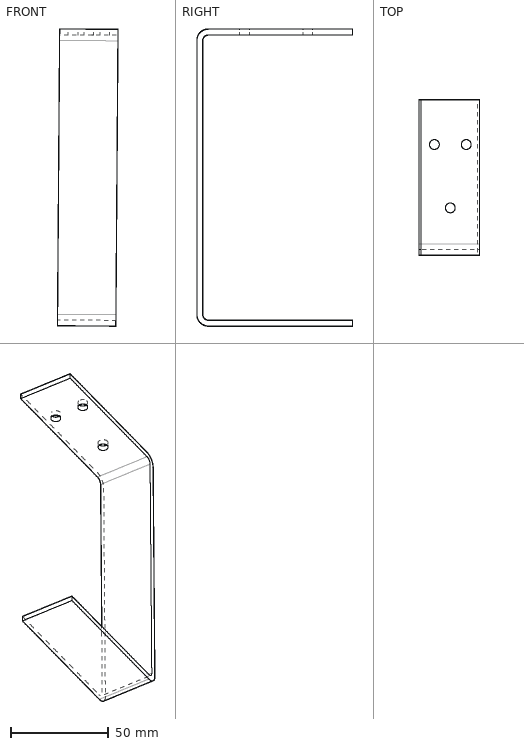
import cadquery as cq
import math

overall_height = 152.6
depth = 80.0
strip_width = 30.0
lean_angle = 0.42

thickness = 3.0
outer_bend_radius = 6.0
inner_bend_radius = outer_bend_radius - thickness

lean = math.radians(lean_angle)
strip_height = (overall_height - strip_width * math.sin(lean)) / math.cos(lean)

hole_diameter = 5.0
hole_pair_spacing = 16.3
hole_pair_setback = 23.0
single_hole_setback = 55.5


def make_bent_strip():
    """C-shaped strip centred on the origin, open towards +Y."""
    outer = (
        cq.Workplane("XY")
        .box(strip_width, depth, strip_height)
        .edges("|X and <Y")
        .fillet(outer_bend_radius)
    )
    inner = (
        cq.Workplane("XY")
        .box(strip_width, depth, strip_height - 2 * thickness)
        .edges("|X and <Y")
        .fillet(inner_bend_radius)
        .translate((0, thickness, 0))
    )
    return outer.cut(inner)


def make_hole_cutters():
    """Three cylinders passing through the upper flange only."""
    free_end = depth / 2
    centres = [
        (-hole_pair_spacing / 2, free_end - hole_pair_setback),
        (hole_pair_spacing / 2, free_end - hole_pair_setback),
        (0, free_end - single_hole_setback),
    ]
    return (
        cq.Workplane("XY", origin=(0, 0, strip_height / 2))
        .pushPoints(centres)
        .circle(hole_diameter / 2)
        .extrude(-thickness)
    )


bracket = make_bent_strip().cut(make_hole_cutters())
result = bracket.rotate((0, 0, 0), (0, 1, 0), lean_angle)